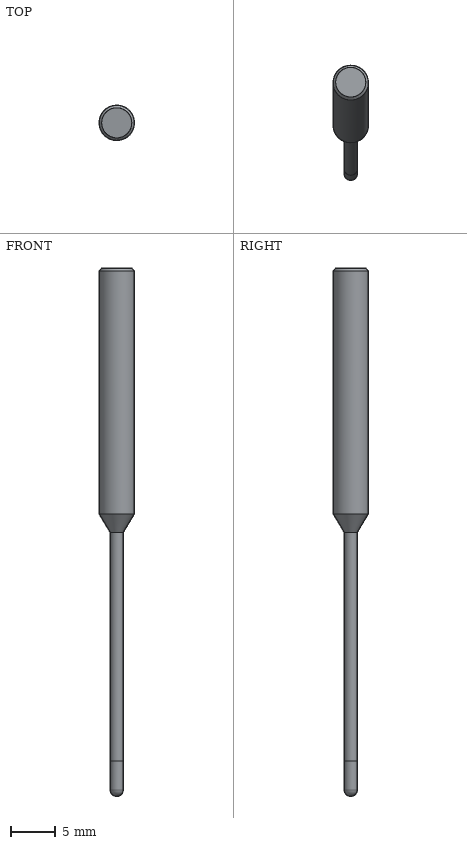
import cadquery as cq
import math

total_length = 60.0
shank_diameter = 4.0
shank_chamfer = 0.3

head_diameter = 1.5
head_length = 4.0

neck_top = 30.0
cone_height = 2.1

head_radius = head_diameter / 2
neck_radius = head_radius
shank_radius = shank_diameter / 2
cone_top = neck_top + cone_height


def make_cutting_head():
    """Cylinder with a hemispherical tip, revolved about Z."""
    arc_middle = head_radius * math.sin(math.radians(45))
    return (
        cq.Workplane("XZ")
        .moveTo(0, 0)
        .threePointArc((arc_middle, head_radius - arc_middle), (head_radius, head_radius))
        .lineTo(head_radius, head_length)
        .lineTo(0, head_length)
        .close()
        .revolve(360, (0, 0, 0), (0, 1, 0))
    )


def make_shank():
    """Neck, cone and chamfered shank, revolved about Z and seated on the cutting head."""
    return (
        cq.Workplane("XZ")
        .moveTo(0, head_length)
        .lineTo(neck_radius, head_length)
        .lineTo(neck_radius, neck_top)
        .lineTo(shank_radius, cone_top)
        .lineTo(shank_radius, total_length - shank_chamfer)
        .lineTo(shank_radius - shank_chamfer, total_length)
        .lineTo(0, total_length)
        .close()
        .revolve(360, (0, 0, 0), (0, 1, 0))
    )


cutting_head = make_cutting_head()
shank = make_shank()

result = cq.Compound.makeCompound([cutting_head.val(), shank.val()])